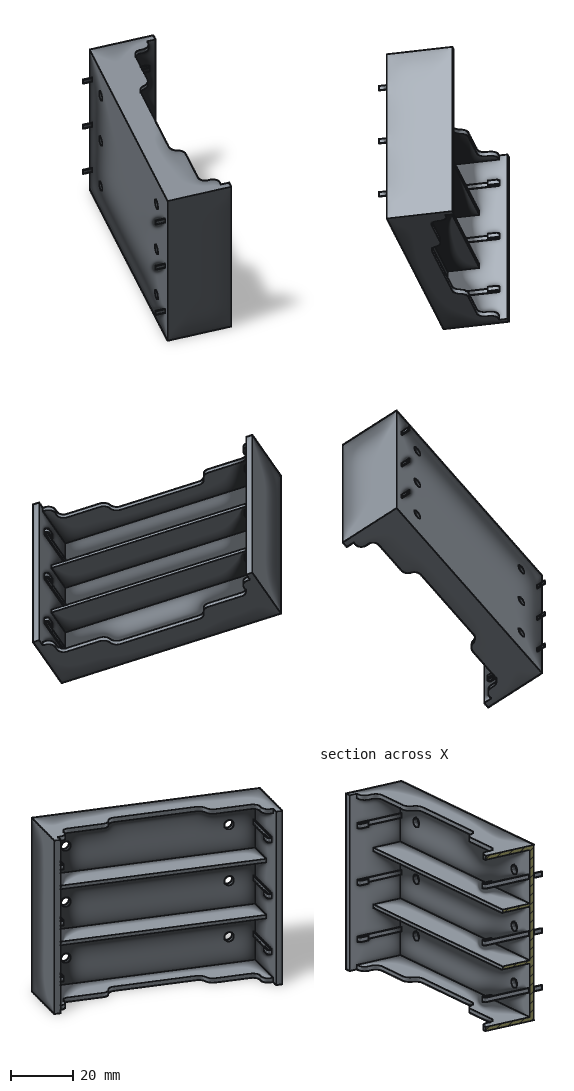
import cadquery as cq
import math


LENGTH = 77.7
HEIGHT = 59.7
BODY_DEPTH = 21.6
CELL_COUNT = 3
CELL_PITCH = 19.3
SIDE_WALL = 1.55
CELL_WIDTH = HEIGHT - 2 * SIDE_WALL - (CELL_COUNT - 1) * CELL_PITCH
DIVIDER_WALL = CELL_PITCH - CELL_WIDTH
END_WALL = 2.2
FLOOR = 1.9
DIVIDER_TOP = 12.35

STEP_TOP = 18.8
STEP_EDGE = 5.45
STEP_RADIUS = 2.4
SHOULDER_TOP = 12.9
NOTCH_START = 19.7
NOTCH_BOTTOM = 8.85
NOTCH_RADIUS = 2.7

HOLE_DIAMETER = 3.2
HOLE_SPACING = 55.6

PIN_INSET = 2.7
STRIP_THICKNESS = 0.4
STRIP_WIDTH = 1.55
PIN_LENGTH = 3.2
CONTACT_TOP = 19.3
HOOK_RADIUS = 0.85
HOOK_TIP = 15.55

HALF_LENGTH = LENGTH / 2
CELL_CENTERS = [(i - (CELL_COUNT - 1) / 2) * CELL_PITCH for i in range(CELL_COUNT)]


def box(x_min, x_max, y_min, y_max, z_center, z_size):
    """Box from its X and Y limits, centered on z_center."""
    size_x = x_max - x_min
    size_y = y_max - y_min
    center = ((x_min + x_max) / 2, (y_min + y_max) / 2, z_center)
    return cq.Workplane("XY").box(size_x, size_y, z_size).translate(center)


def rim_cutter():
    """Everything above the rim of the side walls, between the end walls."""
    r = STEP_RADIUS
    diagonal = r * math.sqrt(0.5)
    flank_x = -HALF_LENGTH + STEP_EDGE
    crest = (flank_x - r, STEP_TOP)
    crest_mid = (flank_x - r + diagonal, STEP_TOP - r + diagonal)
    flank_top = (flank_x, STEP_TOP - r)
    flank_bottom = (flank_x, SHOULDER_TOP + r)
    foot_mid = (flank_x + r - diagonal, SHOULDER_TOP + r - diagonal)
    foot = (flank_x + r, SHOULDER_TOP)

    notch_depth = SHOULDER_TOP - NOTCH_BOTTOM
    sweep = math.acos(1 - notch_depth / (2 * NOTCH_RADIUS))
    half_run = NOTCH_RADIUS * math.sin(sweep)
    half_sweep_run = NOTCH_RADIUS * math.sin(sweep / 2)
    half_sweep_drop = NOTCH_RADIUS * (1 - math.cos(sweep / 2))
    notch_x = -HALF_LENGTH + NOTCH_START
    brow = (notch_x, SHOULDER_TOP)
    brow_mid = (notch_x + half_sweep_run, SHOULDER_TOP - half_sweep_drop)
    s_middle = (notch_x + half_run, SHOULDER_TOP - notch_depth / 2)
    base = (notch_x + 2 * half_run, NOTCH_BOTTOM)
    base_mid = (base[0] - half_sweep_run, NOTCH_BOTTOM + half_sweep_drop)

    wall_x = -HALF_LENGTH + END_WALL
    half_outline = (
        cq.Workplane("XY")
        .moveTo(0, BODY_DEPTH)
        .lineTo(wall_x, BODY_DEPTH)
        .lineTo(wall_x, STEP_TOP)
        .lineTo(*crest)
        .threePointArc(crest_mid, flank_top)
        .lineTo(*flank_bottom)
        .threePointArc(foot_mid, foot)
        .lineTo(*brow)
        .threePointArc(brow_mid, s_middle)
        .threePointArc(base_mid, base)
        .lineTo(0, NOTCH_BOTTOM)
        .close()
    )
    half = half_outline.extrude(HEIGHT / 2, both=True)
    return half.union(half.mirror("YZ"))


def tray():
    """Open shell with shaped side walls and low dividers between the cells."""
    inner_x = HALF_LENGTH - END_WALL
    inner_height = HEIGHT - 2 * SIDE_WALL
    body = box(-HALF_LENGTH, HALF_LENGTH, 0, BODY_DEPTH, 0, HEIGHT)
    body = body.cut(box(-inner_x, inner_x, FLOOR, BODY_DEPTH, 0, inner_height))
    body = body.cut(rim_cutter())
    for lower_cell in CELL_CENTERS[:-1]:
        divider_z = lower_cell + CELL_PITCH / 2
        body = body.union(box(-inner_x, inner_x, FLOOR, DIVIDER_TOP, divider_z, DIVIDER_WALL))
    return body


def mounting_holes():
    """Two through holes in the floor of each bay."""
    points = [(x, z) for x in (-HOLE_SPACING / 2, HOLE_SPACING / 2) for z in CELL_CENTERS]
    return (
        cq.Workplane("XZ")
        .pushPoints(points)
        .circle(HOLE_DIAMETER / 2)
        .extrude(-FLOOR)
    )


def contact():
    """Contact at the -X end of the middle bay."""
    outer_x = -HALF_LENGTH + PIN_INSET - STRIP_THICKNESS / 2
    inner_x = outer_x + STRIP_THICKNESS
    bend_x = outer_x + HOOK_RADIUS
    bend_y = CONTACT_TOP - HOOK_RADIUS
    inside_radius = HOOK_RADIUS - STRIP_THICKNESS
    outline = (
        cq.Workplane("XY")
        .moveTo(outer_x, -PIN_LENGTH)
        .lineTo(outer_x, bend_y)
        .threePointArc((bend_x, CONTACT_TOP), (bend_x + HOOK_RADIUS, bend_y))
        .lineTo(bend_x + HOOK_RADIUS, HOOK_TIP)
        .lineTo(bend_x + inside_radius, HOOK_TIP)
        .lineTo(bend_x + inside_radius, bend_y)
        .threePointArc((bend_x, bend_y + inside_radius), (inner_x, bend_y))
        .lineTo(inner_x, -PIN_LENGTH)
        .close()
    )
    return outline.extrude(STRIP_WIDTH / 2, both=True)


result = tray().cut(mounting_holes())
for z in CELL_CENTERS:
    left_contact = contact().translate((0, 0, z))
    result = result.union(left_contact).union(left_contact.mirror("YZ"))